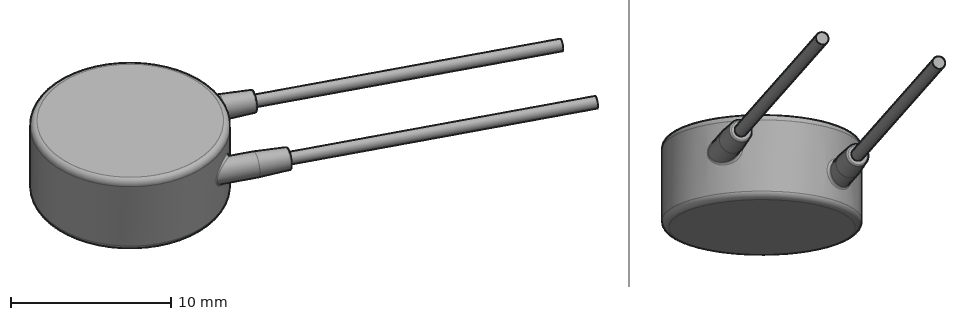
import cadquery as cq

body_diameter = 12.5
body_height = 5.5
body_edge_radius = 0.43

overall_length = 35.5
lead_offset_x = 3.75
lead_offset_z = 0.5
wire_diameter = 0.8
sleeve_diameter = 1.67
sleeve_tip_diameter = 1.45
sleeve_taper_start_y = 7.05
sleeve_end_y = 9.23
sleeve_tip_edge_radius = 0.1
sleeve_root_fillet = 0.15

body_radius = body_diameter / 2
wire_end_y = overall_length - body_radius


def make_body():
    """Disc centred on the origin with both rims rounded."""
    disc = cq.Workplane("XY", origin=(0, 0, -body_height / 2)).circle(body_radius).extrude(body_height)
    return disc.edges("%CIRCLE").fillet(body_edge_radius)


def make_lead(x, z):
    """Straight sleeve, tapered tip and wire, revolved about the lead's axis."""
    sleeve_radius = sleeve_diameter / 2
    tip_radius = sleeve_tip_diameter / 2
    wire_radius = wire_diameter / 2
    half_profile = (
        cq.Workplane("XY")
        .lineTo(sleeve_radius, 0)
        .lineTo(sleeve_radius, sleeve_taper_start_y)
        .lineTo(tip_radius, sleeve_end_y)
        .lineTo(wire_radius, sleeve_end_y)
        .lineTo(wire_radius, wire_end_y)
        .lineTo(0, wire_end_y)
        .close()
    )
    lead = half_profile.revolve(360, (0, 0, 0), (0, 1, 0))
    tip_rim = cq.selectors.RadiusNthSelector(1)
    lead = lead.faces(cq.selectors.NearestToPointSelector((0, sleeve_end_y, 0))).edges(tip_rim)
    lead = lead.fillet(sleeve_tip_edge_radius)
    return lead.translate((x, 0, z))


def root_edges(part):
    """Closed curves where the sleeves enter the side wall of the body, clear of its rims."""
    rim_z = body_height / 2 - body_edge_radius
    margin = 0.05
    near_root = cq.selectors.BoxSelector(
        (-body_radius, margin, -rim_z + margin),
        (body_radius, body_radius, rim_z - margin),
        boundingbox=True,
    )
    return part.edges(near_root)


result = make_body()
for side in (-1, 1):
    result = result.union(make_lead(side * lead_offset_x, side * lead_offset_z))
result = root_edges(result).fillet(sleeve_root_fillet)